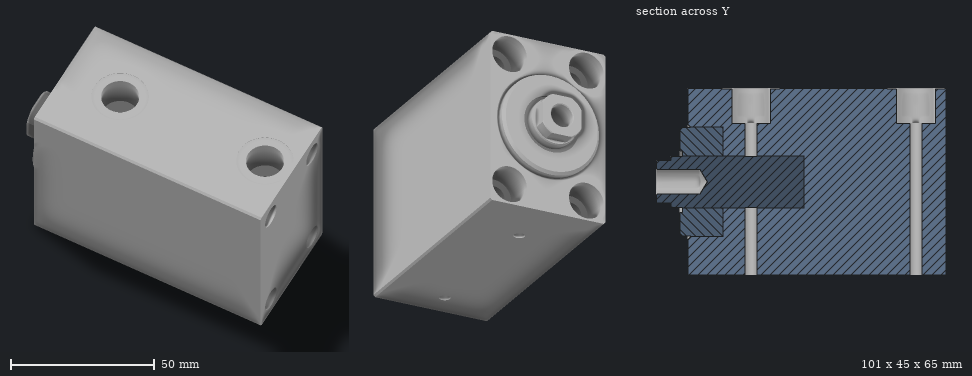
import cadquery as cq
import math


OVERALL_LENGTH = 101.0
BLOCK_LENGTH = 90.0
BLOCK_WIDTH = 45.0
BLOCK_HEIGHT = 65.0
EDGE_CHAMFER = 0.7

BOLT_SPACING_Y = 30.0
BOLT_SPACING_Z = 50.0
BOLT_DIAMETER = 8.5
BOLT_HEAD_DIAMETER = 13.5
BOLT_HEAD_DEPTH = 12.1

PORT_POSITIONS = (22.0, 79.5)
PORT_FACE_DIAMETER = 20.0
PORT_FACE_DEPTH = 0.1
PORT_DIAMETER = 13.3
PORT_DEPTH = 12.1
PORT_DRILL_DIAMETER = 4.0

GLAND_DIAMETER = 38.0
GLAND_PROJECTION = 2.9
GLAND_DEPTH = 12.1
GLAND_CHAMFER = 1.0
GLAND_SEAT_CHAMFER = 1.0
WIPER_DIAMETER = 21.4
WIPER_DEPTH = 1.0

ROD_DIAMETER = 18.0
ROD_PROJECTION = 6.0
ROD_DEPTH = 40.4
SHOULDER_CHAMFER_LENGTH = 0.6
SHOULDER_CHAMFER_RADIAL = 0.3
TIP_DIAMETER = 17.0
TIP_ACROSS_FLATS = 15.0
TIP_CHAMFER = 0.3
ROD_HOLE_DIAMETER = 8.5
ROD_HOLE_DEPTH = 15.2
ROD_HOLE_POINT_ANGLE = 118.0
ROD_HOLE_CHAMFER = 0.3

TIP_END = BLOCK_LENGTH - OVERALL_LENGTH


def cylinder_x(diameter, start, end):
    """Cylinder on the X axis between two X positions."""
    return cq.Workplane("YZ", origin=(start, 0, 0)).circle(diameter / 2).extrude(end - start)


def make_port(x):
    """Cutter for one port: shallow sealing face, bore and drilling through the block."""
    top = cq.Workplane("XY", origin=(x, 0, BLOCK_HEIGHT / 2))
    sealing_face = top.circle(PORT_FACE_DIAMETER / 2).extrude(-PORT_FACE_DEPTH)
    bore = top.circle(PORT_DIAMETER / 2).extrude(-PORT_DEPTH)
    drilling = top.circle(PORT_DRILL_DIAMETER / 2).extrude(-BLOCK_HEIGHT)
    return sealing_face.union(bore).union(drilling)


def make_housing():
    """Block with mounting holes, ports and a stepped bore."""
    block = (
        cq.Workplane("XY")
        .box(BLOCK_LENGTH, BLOCK_WIDTH, BLOCK_HEIGHT, centered=(False, True, True))
        .edges("|X")
        .chamfer(EDGE_CHAMFER)
    )
    block = (
        block.faces("<X")
        .workplane(centerOption="CenterOfBoundBox")
        .rarray(BOLT_SPACING_Y, BOLT_SPACING_Z, 2, 2)
        .cboreHole(BOLT_DIAMETER, BOLT_HEAD_DIAMETER, BOLT_HEAD_DEPTH)
    )
    for x in PORT_POSITIONS:
        block = block.cut(make_port(x))

    mouth_radius = GLAND_DIAMETER / 2 + GLAND_SEAT_CHAMFER
    seat_mouth = (
        cq.Workplane("XY")
        .moveTo(0, 0)
        .lineTo(0, mouth_radius)
        .lineTo(GLAND_SEAT_CHAMFER, GLAND_DIAMETER / 2)
        .lineTo(GLAND_SEAT_CHAMFER, 0)
        .close()
        .revolve(360, (0, 0, 0), (1, 0, 0))
    )
    return (
        block.cut(seat_mouth)
        .cut(cylinder_x(GLAND_DIAMETER, 0, GLAND_DEPTH))
        .cut(cylinder_x(ROD_DIAMETER, 0, ROD_DEPTH))
    )


def make_gland():
    """Chamfered ring around the rod, recessed at the front for the wiper."""
    ring = cylinder_x(GLAND_DIAMETER, -GLAND_PROJECTION, GLAND_DEPTH)
    ring = ring.faces("<X").edges().chamfer(GLAND_CHAMFER)
    wiper_recess = cylinder_x(WIPER_DIAMETER, -GLAND_PROJECTION, WIPER_DEPTH - GLAND_PROJECTION)
    return ring.cut(wiper_recess).cut(cylinder_x(ROD_DIAMETER, -GLAND_PROJECTION, GLAND_DEPTH))


def make_rod():
    """Rod as a revolved profile, with four wrench flats on the tip and a drilled front hole."""
    rod_radius = ROD_DIAMETER / 2
    tip_radius = TIP_DIAMETER / 2
    hole_radius = ROD_HOLE_DIAMETER / 2
    hole_end = TIP_END + ROD_HOLE_DEPTH
    point_length = hole_radius / math.tan(math.radians(ROD_HOLE_POINT_ANGLE / 2))
    rod = (
        cq.Workplane("XY")
        .moveTo(hole_end + point_length, 0)
        .lineTo(hole_end, hole_radius)
        .lineTo(TIP_END + ROD_HOLE_CHAMFER, hole_radius)
        .lineTo(TIP_END, hole_radius + ROD_HOLE_CHAMFER)
        .lineTo(TIP_END, tip_radius - TIP_CHAMFER)
        .lineTo(TIP_END + TIP_CHAMFER, tip_radius)
        .lineTo(-ROD_PROJECTION, tip_radius)
        .lineTo(-ROD_PROJECTION, rod_radius - SHOULDER_CHAMFER_RADIAL)
        .lineTo(-ROD_PROJECTION + SHOULDER_CHAMFER_LENGTH, rod_radius)
        .lineTo(ROD_DEPTH, rod_radius)
        .lineTo(ROD_DEPTH, 0)
        .close()
        .revolve(360, (0, 0, 0), (1, 0, 0))
    )
    tip_length = -ROD_PROJECTION - TIP_END
    tip_section = cq.Workplane("YZ", origin=(TIP_END, 0, 0))
    flats = (
        tip_section.rect(ROD_DIAMETER, ROD_DIAMETER)
        .rect(TIP_ACROSS_FLATS, TIP_ACROSS_FLATS)
        .extrude(tip_length)
    )
    return rod.cut(flats)


housing = make_housing()
gland = make_gland()
rod = make_rod()
result = cq.Compound.makeCompound([housing.val(), gland.val(), rod.val()])